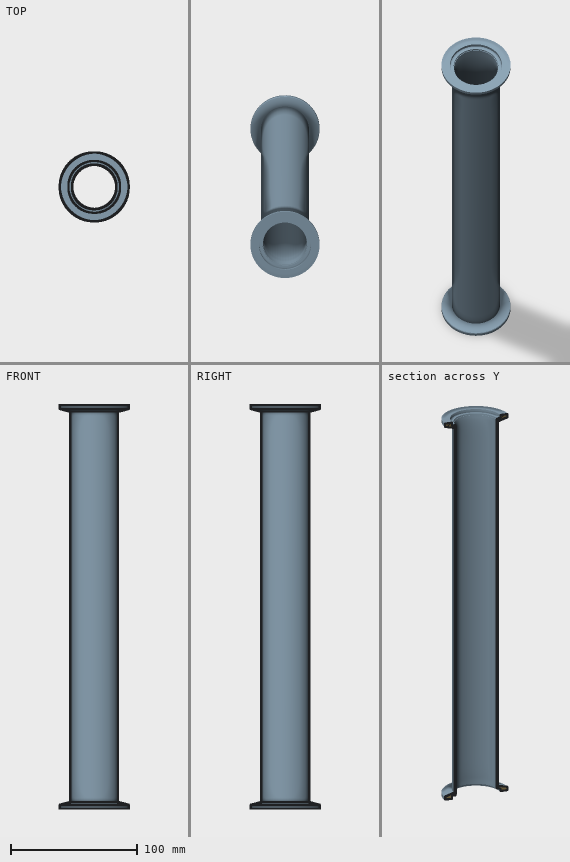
import cadquery as cq
import math

overall_length = 320.0

tube_outer_diameter = 38.1
tube_inner_diameter = 34.8

flange_diameter = 54.9
flange_back_diameter = 39.2
flange_bore_diameter = 35.58
recess_diameter = 41.2
socket_diameter = 38.35

rim_thickness = 3.0
rim_bevel = 0.4
taper_angle = 15.0
recess_depth = 2.5
lip_thickness = 1.3

flange_radius = flange_diameter / 2
flange_back_radius = flange_back_diameter / 2
flange_bore_radius = flange_bore_diameter / 2
recess_radius = recess_diameter / 2
socket_radius = socket_diameter / 2

taper_slope = math.tan(math.radians(taper_angle))
bevel_top_radius = flange_radius - rim_bevel
flange_thickness = rim_thickness + (flange_radius - flange_back_radius) * taper_slope
socket_floor = recess_depth + lip_thickness
tube_length = overall_length - 2 * socket_floor


def make_tube():
    """Plain tube standing on Z, its ends resting on the socket floors of the two flanges."""
    return (
        cq.Workplane("XY")
        .workplane(offset=socket_floor)
        .circle(tube_outer_diameter / 2)
        .circle(tube_inner_diameter / 2)
        .extrude(tube_length)
    )


def make_flange():
    """Clamp flange with its sealing face at Z = 0 and its conical back facing +Z.

    The recess opens on the sealing face, the tube socket on the back, and a lip lies between them.
    """
    profile = [
        (recess_radius, 0),
        (flange_radius, 0),
        (flange_radius, rim_thickness - rim_bevel),
        (bevel_top_radius, rim_thickness + rim_bevel * taper_slope),
        (flange_back_radius, flange_thickness),
        (socket_radius, flange_thickness),
        (socket_radius, socket_floor),
        (flange_bore_radius, socket_floor),
        (flange_bore_radius, recess_depth),
        (recess_radius, recess_depth),
    ]
    return cq.Workplane("XZ").polyline(profile).close().revolve(360, (0, 0), (0, 1))


tube = make_tube()

flanges = []
for upside_down in (False, True):
    flange = make_flange()
    if upside_down:
        flange = flange.mirror("XY").translate((0, 0, overall_length))
    flanges.append(flange)

result = cq.Compound.makeCompound([tube.val(), *[flange.val() for flange in flanges]])